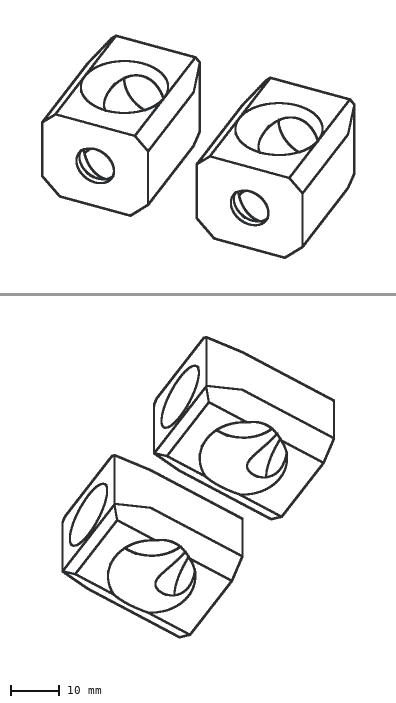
import cadquery as cq

TOTAL_WIDTH = 59.0
BLOCK_WIDTH = 24.0
BLOCK_DEPTH = 30.0
BLOCK_HEIGHT = 20.75
BLOCK_PITCH = TOTAL_WIDTH - BLOCK_WIDTH

TOP_BEVEL = 3.0
BOTTOM_BEVEL = 4.0

TAPER_LENGTH = 7.5
TAPER_INSET = 2.0
REAR_BOTTOM_BEVEL = 1.9

CROSS_HOLE_DIAMETER = 18.0
CROSS_HOLE_Y = 14.5
SCREW_HOLE_DIAMETER = 8.5
SCREW_HOLE_Z = 10.3
REAR_BORE_DIAMETER = 14.3
FRONT_LIP = 1.5


def bevelled_bar():
    """Eight-sided bar running along +Y from the front face at Y = 0."""
    side = BLOCK_WIDTH / 2
    return (
        cq.Workplane("XZ")
        .moveTo(BOTTOM_BEVEL - side, 0)
        .lineTo(side - BOTTOM_BEVEL, 0)
        .lineTo(side, BOTTOM_BEVEL)
        .lineTo(side, BLOCK_HEIGHT - TOP_BEVEL)
        .lineTo(side - TOP_BEVEL, BLOCK_HEIGHT)
        .lineTo(TOP_BEVEL - side, BLOCK_HEIGHT)
        .lineTo(-side, BLOCK_HEIGHT - TOP_BEVEL)
        .lineTo(-side, BOTTOM_BEVEL)
        .close()
        .extrude(-BLOCK_DEPTH)
    )


def tapered_plan():
    """Plan outline, narrowed at the rear, as a full-height prism."""
    side = BLOCK_WIDTH / 2
    rear_side = side - TAPER_INSET
    taper_start = BLOCK_DEPTH - TAPER_LENGTH
    return (
        cq.Workplane("XY")
        .moveTo(-side, 0)
        .lineTo(side, 0)
        .lineTo(side, taper_start)
        .lineTo(rear_side, BLOCK_DEPTH)
        .lineTo(-rear_side, BLOCK_DEPTH)
        .lineTo(-side, taper_start)
        .close()
        .extrude(BLOCK_HEIGHT)
    )


def rear_bevel_cutter():
    """Triangular prism that bevels the lower rear edge."""
    return (
        cq.Workplane("YZ")
        .moveTo(BLOCK_DEPTH, 0)
        .lineTo(BLOCK_DEPTH, REAR_BOTTOM_BEVEL)
        .lineTo(BLOCK_DEPTH - REAR_BOTTOM_BEVEL, 0)
        .close()
        .extrude(BLOCK_WIDTH / 2, both=True)
    )


def cross_hole():
    """Vertical through hole."""
    return (
        cq.Workplane("XY")
        .center(0, CROSS_HOLE_Y)
        .circle(CROSS_HOLE_DIAMETER / 2)
        .extrude(BLOCK_HEIGHT)
    )


def screw_hole():
    """Through hole from the front face to the rear face."""
    return (
        cq.Workplane("XZ")
        .center(0, SCREW_HOLE_Z)
        .circle(SCREW_HOLE_DIAMETER / 2)
        .extrude(-BLOCK_DEPTH)
    )


def rear_bore():
    """Larger coaxial bore from the rear face, ending in a 45-degree cone that meets the screw hole."""
    bore_radius = REAR_BORE_DIAMETER / 2
    screw_radius = SCREW_HOLE_DIAMETER / 2
    cone_length = bore_radius - screw_radius
    return (
        cq.Workplane("XY", origin=(0, 0, SCREW_HOLE_Z))
        .moveTo(0, FRONT_LIP)
        .lineTo(screw_radius, FRONT_LIP)
        .lineTo(bore_radius, FRONT_LIP + cone_length)
        .lineTo(bore_radius, BLOCK_DEPTH)
        .lineTo(0, BLOCK_DEPTH)
        .close()
        .revolve(360, (0, 0, 0), (0, 1, 0))
    )


def clamp_block(center_x):
    """One clamp block, centred on the given X."""
    block = bevelled_bar().intersect(tapered_plan())
    block = block.cut(rear_bevel_cutter()).cut(cross_hole()).cut(screw_hole()).cut(rear_bore())
    return block.translate((center_x, 0, 0))


blocks = [clamp_block(x) for x in (-BLOCK_PITCH / 2, BLOCK_PITCH / 2)]

result = cq.Compound.makeCompound([block.val() for block in blocks])